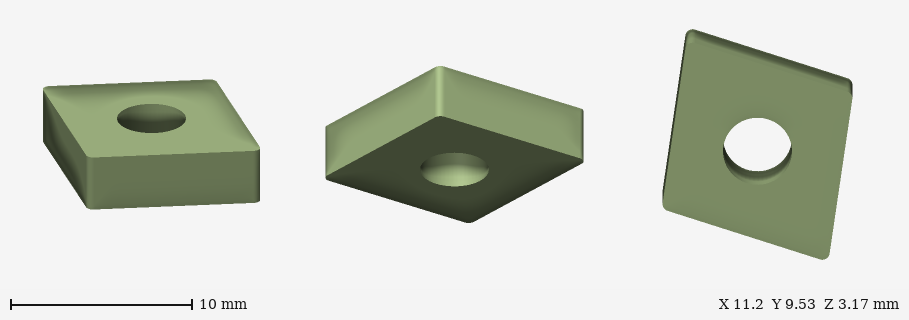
import cadquery as cq
import math

length = 11.2
thickness = 3.17
hole_diameter = 3.81
corner_radius = 0.4
acute_angle = 80.0

half_angle = math.radians(acute_angle / 2)
corner_center_x = length / 2 - corner_radius
inscribed_radius = corner_center_x * math.tan(half_angle) + corner_radius

acute_x = inscribed_radius / math.tan(half_angle)
obtuse_x = inscribed_radius * math.tan(half_angle)
corners = [
    (acute_x, inscribed_radius),
    (-obtuse_x, inscribed_radius),
    (-acute_x, -inscribed_radius),
    (obtuse_x, -inscribed_radius),
]

plate = (
    cq.Workplane("XY")
    .polyline(corners)
    .close()
    .extrude(thickness)
    .edges("|Z")
    .fillet(corner_radius)
)

result = plate.faces(">Z").workplane(origin=(0, 0, thickness)).hole(hole_diameter)